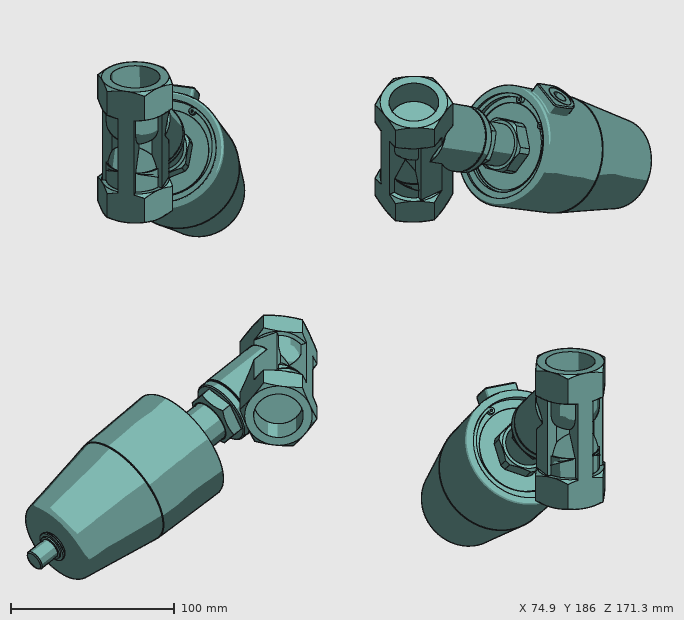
import cadquery as cq
import math

overall_depth = 186.0
axis_slope = 40.0
axis_crossing_z = 17.3
slope_sin = math.sin(math.radians(axis_slope))
slope_cos = math.cos(math.radians(axis_slope))
actuator_plane = cq.Plane(
    origin=(0, 0, axis_crossing_z),
    xDir=(-1, 0, 0),
    normal=(0, slope_cos, -slope_sin),
)

pipe_length = 89.8
pipe_hex_flats = 41.3
pipe_hex_length = 19.9
middle_overlap = 3.7
hex_chamfer_angle = 30.0
port_diameter = 30.3
port_depth = 17.5
side_flat_x = 19.0
web_thickness = 10.2
recess_front_y = -6.7
core_radius = 17.9
dome_start = 15.6
dome_height = 14.5
lower_tube_end = -12.3
waist_radius_x = 17.7
waist_radius_y = 9.7
elbow_tilt = 29.0
elbow_start_z = -16.4
elbow_setback = 5.0
elbow_length = 27.9
elbow_radius = 17.5
branch_radius = 20.5
branch_start = 5.0
branch_chamfer = 1.3

bonnet_seat = 43.7
bonnet_groove_width = 0.7
bonnet_groove_radius = 19.7
bonnet_flange_radius = 20.3
bonnet_flange_end = 50.0
bonnet_flange_chamfer = 0.7
nut_flats = 31.5
bonnet_hex_end = 59.0
bonnet_hex_chamfer_radius = 13.8
neck_radius = 13.2

nut_corner_radius = 17.2
plate_nut_face = 79.0
nut_chamfer_radius = 15.2
plate_rim_inner_radius = 27.0
plate_rim_height = 0.7
plate_thickness = 5.5

housing_face = 83.7
housing_radius = 37.47
housing_edge_radius = 1.5
bore_radius = 32.5
bore_depth = 4.5
waistline = 134.8
waistline_radius = 36.3
waistline_groove_width = 0.5
waistline_groove_depth = 0.28
housing_end = 193.2
housing_end_flat_radius = 23.5
housing_corner_start = 189.5
housing_corner_radius = 27.7

pad_half_width = 10.8
pad_start = 88.0
pad_center = 101.2
pad_height = 42.8
pad_root = 32.5
pad_edge_chamfer = 0.7
pad_base_fillet = 1.0
pad_corner_radius = 1.9
spot_face_diameter = 16.0
spot_face_depth = 0.2
air_hole_diameter = 8.5
air_hole_depth = 5.2

ring_inner_radius = 29.5
ring_inner_offset = 1.3
ring_thickness = 2.8
ring_ear_angle = 24.5
ring_ear_center_radius = 30.0
ring_ear_diameter = 4.0
ring_ear_hole_diameter = 1.5

collar_radius = 10.0
collar_height = 1.3
collar_foot_radius = 9.3
collar_foot_height = 1.3
step_radius = 8.0
step_height = 1.1
stem_radius = 6.5
stem_chamfer = 0.7
stem_tip_y = overall_depth - pipe_hex_flats / 2
stem_tip_rise = (stem_radius - stem_chamfer) * slope_sin
stem_end = (stem_tip_y - stem_tip_rise) / slope_cos

plate_rim_face = housing_face + bore_depth
plate_face = plate_rim_face + plate_rim_height
plate_back = plate_rim_face + plate_thickness


def cylinder(radius, start, end):
    return cq.Workplane("XY").workplane(offset=start).circle(radius).extrude(end - start)


def hexagon(flats, start, end):
    """Hexagonal prism along Z with corners on the X axis."""
    corner_diameter = flats / math.cos(math.radians(30))
    return cq.Workplane("XY").workplane(offset=start).polygon(6, corner_diameter).extrude(end - start)


def corner_cone(face_radius, face, direction):
    """Large solid whose cone trims hexagon corners at a face; direction points into the hexagon."""
    reach = 55.8
    rise = direction * reach * math.tan(math.radians(hex_chamfer_angle))
    back = face + direction * 2 * reach
    profile = [
        (0, face),
        (face_radius, face),
        (face_radius + reach, face + rise),
        (face_radius + reach, back),
        (0, back),
    ]
    return revolve_about_z(cq.Workplane("XZ").polyline(profile).close())


def revolve_about_z(outline):
    return outline.revolve(360, (0, 0, 0), (0, 1, 0))


def place_on_axis(shape):
    return cq.Workplane(shape.val().moved(cq.Location(actuator_plane)))


def make_pipe_hex(start, end):
    flat_radius = pipe_hex_flats / 2
    prism = hexagon(pipe_hex_flats, start, end)
    prism = prism.intersect(corner_cone(flat_radius, start, 1))
    return prism.intersect(corner_cone(flat_radius, end, -1))


def make_domed_tube(outer_end):
    """Upper flow tube, closed at its lower end by a half-ellipsoid dome."""
    shoulder = math.sqrt(0.5)
    outline = (
        cq.Workplane("XZ")
        .moveTo(0, outer_end)
        .lineTo(core_radius, outer_end)
        .lineTo(core_radius, dome_start)
        .spline(
            [
                (core_radius * shoulder, dome_start - dome_height * shoulder),
                (0, dome_start - dome_height),
            ],
            tangents=[(0, -1), (-1, 0)],
            includeCurrent=True,
        )
        .close()
    )
    return revolve_about_z(outline)


def make_elbow():
    """Round stub that leans from the lower tube toward the branch."""
    elbow = cylinder(elbow_radius, -elbow_setback, elbow_length)
    return elbow.rotate((0, 0, 0), (1, 0, 0), -elbow_tilt).translate((0, 0, elbow_start_z))


def make_core():
    """Flow passage between the hexagons: two round tubes joined by an oval waist and an elbow."""
    inner_end = pipe_length / 2 - pipe_hex_length
    waist = (
        cq.Workplane("XY", origin=(0, 0, lower_tube_end))
        .ellipse(waist_radius_x, waist_radius_y)
        .extrude(dome_start - lower_tube_end)
    )
    lower_tube = cylinder(core_radius, -inner_end, lower_tube_end)
    return waist.union(make_domed_tube(inner_end)).union(lower_tube).union(make_elbow())


def make_valve_body():
    half_length = pipe_length / 2
    inner_end = half_length - pipe_hex_length
    middle_end = inner_end + middle_overlap
    middle_length = 2 * middle_end
    front_y = -pipe_hex_flats / 2

    middle = hexagon(pipe_hex_flats, -middle_end, middle_end)
    middle = middle.intersect(cq.Workplane("XY").box(2 * side_flat_x, pipe_hex_flats, middle_length))
    kept_depth = pipe_hex_flats / 2 - recess_front_y
    rear_block = cq.Workplane("XY").box(
        pipe_hex_flats, kept_depth, middle_length, centered=(True, False, True)
    ).translate((0, recess_front_y, 0))
    web = cq.Workplane("XY").box(
        web_thickness, -front_y, middle_length, centered=(True, False, True)
    ).translate((0, front_y, 0))
    body = middle.intersect(rear_block).union(web).union(make_core())

    branch = cylinder(branch_radius, branch_start, bonnet_seat).faces("<Z").chamfer(branch_chamfer)
    branch = place_on_axis(branch).intersect(
        cq.Workplane("XY")
        .box(4 * branch_radius, overall_depth, pipe_length, centered=(True, False, True))
        .translate((0, recess_front_y, 0))
    )
    body = body.union(branch)
    body = body.union(make_pipe_hex(inner_end, half_length))
    body = body.union(make_pipe_hex(-half_length, -inner_end))

    port_radius = port_diameter / 2
    body = body.cut(cylinder(port_radius, half_length - port_depth, half_length))
    return body.cut(cylinder(port_radius, -half_length, port_depth - half_length))


def make_bonnet():
    """Flange, hexagon and neck; the neck runs into the hole of the end plate."""
    groove_end = bonnet_seat + bonnet_groove_width
    flange = cylinder(bonnet_flange_radius, groove_end, bonnet_flange_end)
    flange = flange.faces(">Z").chamfer(bonnet_flange_chamfer)
    hex_part = hexagon(nut_flats, bonnet_flange_end, bonnet_hex_end)
    hex_part = hex_part.intersect(corner_cone(bonnet_hex_chamfer_radius, bonnet_hex_end, -1))
    bonnet = cylinder(bonnet_groove_radius, bonnet_seat, groove_end).union(flange).union(hex_part)
    bonnet = bonnet.union(cylinder(neck_radius, bonnet_hex_end, plate_back))
    return place_on_axis(bonnet)


def make_end_plate():
    """Plate with a raised rim, and a hexagon whose corners point up and down."""
    plate = cylinder(bore_radius, plate_rim_face, plate_back)
    plate = plate.cut(cylinder(plate_rim_inner_radius, plate_rim_face, plate_face))
    nut = hexagon(nut_flats, plate_nut_face, plate_face).rotate((0, 0, 0), (0, 0, 1), 90)
    nut = nut.intersect(cylinder(nut_corner_radius, plate_nut_face, plate_face))
    nut = nut.intersect(corner_cone(nut_chamfer_radius, plate_nut_face, 1))
    neck_hole = cylinder(neck_radius, plate_nut_face, plate_back)
    return place_on_axis(plate.union(nut).cut(neck_hole))


def add_air_pad(housing):
    pad = (
        cq.Workplane("XZ", origin=(0, pad_root, 0))
        .moveTo(-pad_half_width, pad_start)
        .lineTo(pad_half_width, pad_start)
        .lineTo(pad_half_width, pad_center)
        .threePointArc((0, pad_center + pad_half_width), (-pad_half_width, pad_center))
        .close()
        .extrude(pad_root - pad_height)
    )
    pad = pad.faces("<Z").edges("|Y").fillet(pad_corner_radius)
    pad = pad.faces(">Y").chamfer(pad_edge_chamfer)
    top = cq.Workplane("XZ", origin=(0, pad_height, pad_center))
    spot_face = top.circle(spot_face_diameter / 2).extrude(spot_face_depth)
    air_hole = top.circle(air_hole_diameter / 2).extrude(air_hole_depth)

    margin = 0.2
    pad_region = cq.selectors.BoxSelector(
        (-pad_half_width - margin, pad_root, pad_start - margin),
        (
            pad_half_width + margin,
            pad_height - 2 * pad_edge_chamfer,
            pad_center + pad_half_width + margin,
        ),
        boundingbox=True,
    )
    joined = housing.union(pad)
    joined = joined.edges(pad_region).fillet(pad_base_fillet)
    return joined.cut(spot_face).cut(air_hole)


def make_housing():
    edge_offset = housing_edge_radius * (1 - math.sqrt(0.5))
    outline = (
        cq.Workplane("XZ")
        .moveTo(0, housing_face)
        .lineTo(housing_radius - housing_edge_radius, housing_face)
        .threePointArc(
            (housing_radius - edge_offset, housing_face + edge_offset),
            (housing_radius, housing_face + housing_edge_radius),
        )
        .lineTo(waistline_radius, waistline)
        .lineTo(housing_corner_radius, housing_corner_start)
        .tangentArcPoint((housing_end_flat_radius, housing_end), relative=False)
        .lineTo(0, housing_end)
        .close()
    )
    housing = revolve_about_z(outline)
    groove_end = waistline + waistline_groove_width
    groove = cylinder(housing_radius, waistline, groove_end).cut(
        cylinder(waistline_radius - waistline_groove_depth, waistline, groove_end)
    )
    housing = add_air_pad(housing.cut(groove))
    return place_on_axis(housing.cut(cylinder(bore_radius, housing_face, plate_back)))


def make_retaining_ring():
    """Open ring with a pierced ear at each end; the gap is on the upper side and the
    band widens away from it."""
    start = plate_rim_face - ring_thickness
    ring = cylinder(bore_radius, start, plate_rim_face)
    ring = ring.cut(
        cylinder(ring_inner_radius, start, plate_rim_face).translate((0, ring_inner_offset, 0))
    )
    ear_direction = math.radians(ring_ear_angle)
    gap_reach = 2 * bore_radius
    gap_x = gap_reach * math.sin(ear_direction)
    gap_y = gap_reach * math.cos(ear_direction)
    gap = (
        cq.Workplane("XY", origin=(0, 0, start))
        .polyline([(0, 0), (gap_x, gap_y), (-gap_x, gap_y)])
        .close()
        .extrude(ring_thickness)
    )
    ear_x = ring_ear_center_radius * math.sin(ear_direction)
    ear_y = ring_ear_center_radius * math.cos(ear_direction)
    ears = cq.Workplane("XY", origin=(0, 0, start)).pushPoints([(-ear_x, ear_y), (ear_x, ear_y)])
    ring = ring.cut(gap).union(ears.circle(ring_ear_diameter / 2).extrude(ring_thickness))
    ring = ring.cut(ears.circle(ring_ear_hole_diameter / 2).extrude(ring_thickness))
    return place_on_axis(ring)


def make_stem():
    """Stem with the stepped collar that stands on the end of the housing."""
    foot_end = housing_end + collar_foot_height
    collar_end = foot_end + collar_height
    step_end = collar_end + step_height
    foot = cylinder(collar_foot_radius, housing_end, foot_end)
    collar = cylinder(collar_radius, foot_end, collar_end)
    step = cylinder(step_radius, collar_end, step_end)
    rod = cylinder(stem_radius, step_end, stem_end).faces(">Z").chamfer(stem_chamfer)
    return place_on_axis(foot.union(collar).union(step).union(rod))


valve_body = make_valve_body()
bonnet = make_bonnet()
end_plate = make_end_plate()
retaining_ring = make_retaining_ring()
housing = make_housing()
stem = make_stem()

result = cq.Compound.makeCompound(
    [
        valve_body.val(),
        bonnet.val(),
        end_plate.val(),
        retaining_ring.val(),
        housing.val(),
        stem.val(),
    ]
)